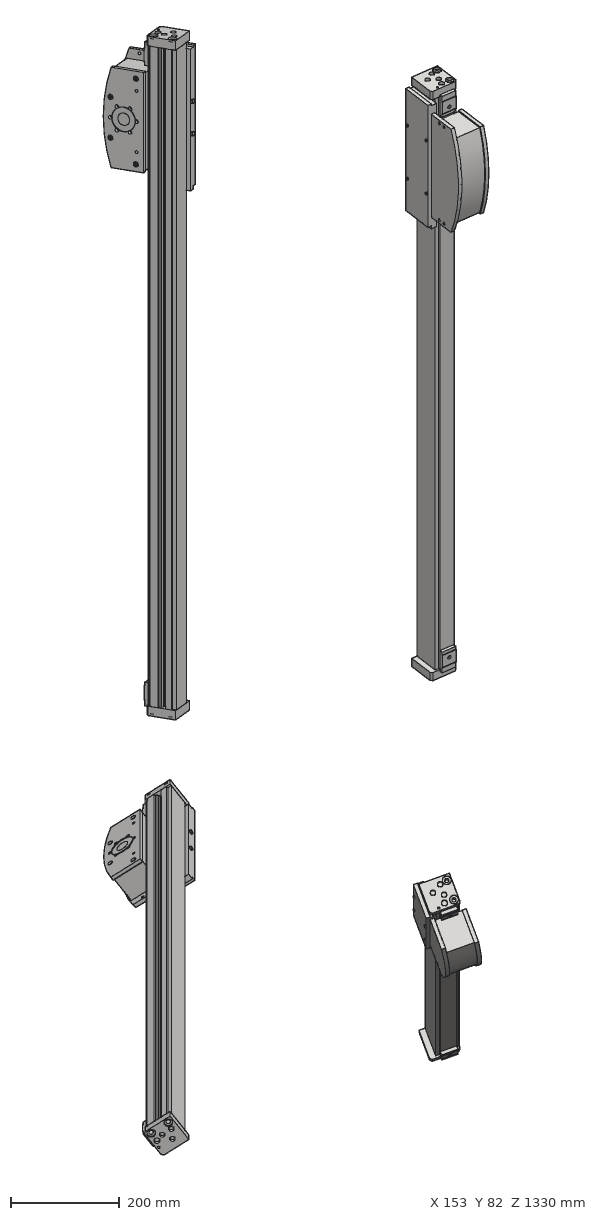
import cadquery as cq
import math


total_length = 1330.0
rail_width = 60.0
rail_depth = 48.0
block_depth = 60.0
block_height = 19.0
block_chamfer = 4.0

profile_step = 4.0
slot_left = 24.0
slot_right = 40.0
right_rebate_width = 8.0
back_rebate_width = 8.0

end_screw_head = 16.0
end_screw_hole = 8.0
end_screw_recess = 4.0
end_screw_side = 10.0
end_screw_front = 9.0
centre_screw_x = 36.0
centre_screw_y = 29.0
centre_screw_circle_radius = 12.0
centre_screw_count = 3
centre_screw_hole = 10.0
blind_hole_depth = 7.0
side_hole = 11.0
side_hole_x = 10.0
side_hole_y = 28.0
small_hole = 4.1
small_hole_x = 5.0
small_hole_y = 41.0

cover_thickness = 8.0
cover_front = 8.0
cover_back = 40.0
cover_length = 47.0
cover_inset = 15.0
cover_outer_step = 12.0
cover_inner_step = 7.0
cover_step_depth = 1.0
cover_hole = 7.0
cover_hole_depth = 4.0
cover_hole_from_end = 29.0

drive_z = 1164.0
drive_reach = 82.0
drive_radius = 311.0
plate_thickness = 8.0
box_front = -3.0
box_back = 52.0
rear_plate_length = 233.0
front_plate_length = 197.0
box_length = 192.0
box_inset = 3.0

plate_screw_head = 10.0
plate_screw_hole = 4.9
plate_screw_recess = 4.0
outer_screw_x = -68.0
outer_screw_offset = 40.0
inner_screw_x = -16.0
inner_screw_offset = 84.0
dowel_hole = 5.0
dowel_x = -15.0
dowel_offset = 60.0
flange_hole = 5.0
flange_hole_xs = (-39.0, -24.0)
flange_hole_offset = 109.0

cap_x = -41.0
cap_diameter = 48.0
cap_thickness = 1.0
cap_boss_diameter = 24.0
cap_boss_length = 4.0
cap_screw_circle_radius = 27.0
cap_screw_count = 6
cap_screw_hole = 7.0

carriage_width = 68.0
carriage_thickness = 20.0
carriage_plate_thickness = 8.0
carriage_plate_bottom = 1028.0
carriage_plate_top = 1303.0
carriage_base_bottom = 1021.0
carriage_base_top = 1300.0
knob_height = 3.0
side_knob_diameter = 8.5
side_knob_offset = 32.0
back_knob_diameter = 5.0
back_knob_offset = 60.0
back_knob_xs = (3.0, 61.0)

carriage_back = rail_depth + carriage_thickness
front_plate_front = box_front - plate_thickness
rear_plate_back = box_back + plate_thickness


def box_between(x0, x1, y0, y1, z0, z1):
    return cq.Workplane("XY").box(x1 - x0, y1 - y0, z1 - z0, centered=False).translate((x0, y0, z0))


def cylinder_along_y(x, z, y_start, diameter, length):
    """Cylinder that starts at y_start and runs toward +Y."""
    circle = cq.Workplane("XZ", origin=(x, y_start, z)).circle(diameter / 2)
    return circle.extrude(-length)


def cylinder_along_x(y, z, x_start, diameter, length):
    """Cylinder that starts at x_start and runs toward +X."""
    circle = cq.Workplane("YZ", origin=(x_start, y, z)).circle(diameter / 2)
    return circle.extrude(length)


def mirrored_to_lower_end(body):
    return body.mirror("XY", (0, 0, total_length / 2))


def make_rail():
    """Profile with stepped front edges, a stepped front slot and a rebated back edge."""
    step = profile_step
    right_face = rail_width - right_rebate_width
    back_rebate = rail_depth - back_rebate_width
    profile = [
        (2 * step, 0),
        (slot_left, 0),
        (slot_left, step),
        (slot_left + step, step),
        (slot_left + step, 2 * step),
        (slot_left + 2 * step, 2 * step),
        (slot_left + 2 * step, 3 * step),
        (slot_right, 3 * step),
        (slot_right, 0),
        (right_face, 0),
        (right_face, step),
        (rail_width, step),
        (rail_width, rail_depth),
        (step, rail_depth),
        (step, back_rebate),
        (0, back_rebate),
        (0, 2 * step),
        (step, 2 * step),
        (step, step),
        (2 * step, step),
    ]
    rail = cq.Workplane("XY").polyline(profile).close().extrude(total_length - 2 * block_height)
    return rail.translate((0, 0, block_height))


def upper_end_holes(points, diameter, depth):
    """Cylinders that run down from the upper end face."""
    end_face = cq.Workplane("XY", origin=(0, 0, total_length))
    return end_face.pushPoints(points).circle(diameter / 2).extrude(-depth)


def make_upper_end_block():
    block_bottom = total_length - block_height
    block = box_between(0, rail_width, 0, block_depth, block_bottom, total_length)
    block = block.edges("|Z and <X").chamfer(block_chamfer)

    corner_points = [(x, end_screw_front) for x in (end_screw_side, rail_width - end_screw_side)]
    block = block.cut(upper_end_holes(corner_points, end_screw_head, end_screw_recess))
    block = block.cut(upper_end_holes(corner_points, end_screw_hole, block_height))

    triangle = []
    for i in range(centre_screw_count):
        angle = math.pi / 2 + 2 * math.pi * i / centre_screw_count
        x = centre_screw_x + centre_screw_circle_radius * math.cos(angle)
        y = centre_screw_y + centre_screw_circle_radius * math.sin(angle)
        triangle.append((x, y))
    block = block.cut(upper_end_holes(triangle, centre_screw_hole, blind_hole_depth))
    block = block.cut(upper_end_holes([(side_hole_x, side_hole_y)], side_hole, blind_hole_depth))
    return block.cut(upper_end_holes([(small_hole_x, small_hole_y)], small_hole, blind_hole_depth))


def make_upper_side_cover():
    """Cover plate with a slightly lower strip at each end and one screw hole."""
    top = total_length - cover_inset
    bottom = top - cover_length
    cover = box_between(-cover_thickness, 0, cover_front, cover_back, bottom, top)
    strip_floor = cover_step_depth - cover_thickness
    for z0, z1 in ((bottom, bottom + cover_inner_step), (top - cover_outer_step, top)):
        cover = cover.cut(box_between(-cover_thickness, strip_floor, cover_front, cover_back, z0, z1))
    middle = (cover_front + cover_back) / 2
    hole_z = top - cover_hole_from_end
    hole = cylinder_along_x(middle, hole_z, -cover_thickness, cover_hole, cover_hole_depth)
    return cover.cut(hole)


def bowed_slab(reach, radius, length, y_front, y_back):
    """Slab from the rail to an arc about the drive height, its ends cut square."""
    half = length / 2
    end_x = radius - reach - math.sqrt(radius**2 - half**2)
    outline = (
        cq.Workplane("XZ", origin=(0, y_front, drive_z))
        .moveTo(0, -half)
        .lineTo(end_x, -half)
        .threePointArc((-reach, 0), (end_x, half))
        .lineTo(0, half)
        .close()
    )
    return outline.extrude(y_front - y_back)


def make_drive_box():
    reach = drive_reach - box_inset
    radius = drive_radius - box_inset
    return bowed_slab(reach, radius, box_length, box_front, box_back)


def make_rear_plate():
    plate = bowed_slab(drive_reach, drive_radius, rear_plate_length, box_back, rear_plate_back)
    for x in flange_hole_xs:
        for side in (-1, 1):
            z = drive_z + side * flange_hole_offset
            plate = plate.cut(cylinder_along_y(x, z, box_back, flange_hole, plate_thickness))
    return plate


def make_shaft_cap():
    """Thin disc with a boss behind it, flush with the front plate."""
    disc = cylinder_along_y(cap_x, drive_z, front_plate_front, cap_diameter, cap_thickness)
    boss_start = front_plate_front + cap_thickness
    boss = cylinder_along_y(cap_x, drive_z, boss_start, cap_boss_diameter, cap_boss_length)
    return disc.union(boss)


def make_front_plate(cap):
    plate = bowed_slab(drive_reach, drive_radius, front_plate_length, front_plate_front, box_front)

    for side in (-1, 1):
        for x, offset in ((outer_screw_x, outer_screw_offset), (inner_screw_x, inner_screw_offset)):
            z = drive_z + side * offset
            head = cylinder_along_y(x, z, front_plate_front, plate_screw_head, plate_screw_recess)
            hole = cylinder_along_y(x, z, front_plate_front, plate_screw_hole, plate_thickness)
            plate = plate.cut(head).cut(hole)
        dowel_z = drive_z + side * dowel_offset
        plate = plate.cut(cylinder_along_y(dowel_x, dowel_z, front_plate_front, dowel_hole, plate_thickness))

    for i in range(cap_screw_count):
        angle = 2 * math.pi * i / cap_screw_count
        x = cap_x + cap_screw_circle_radius * math.cos(angle)
        z = drive_z + cap_screw_circle_radius * math.sin(angle)
        plate = plate.cut(cylinder_along_y(x, z, front_plate_front, cap_screw_hole, plate_thickness))

    return plate.cut(cap)


def make_carriage():
    """Plate on a base that slides on the back of the rail and overhangs its far side."""
    plate_front = carriage_back - carriage_plate_thickness
    base = box_between(0, carriage_width, rail_depth, plate_front, carriage_base_bottom, carriage_base_top)
    plate = box_between(
        0, carriage_width, plate_front, carriage_back, carriage_plate_bottom, carriage_plate_top
    )
    carriage = base.union(plate)
    side_knob_y = (rail_depth + plate_front) / 2
    for side in (-1, 1):
        side_z = drive_z + side * side_knob_offset
        side_knob = cylinder_along_x(side_knob_y, side_z, carriage_width, side_knob_diameter, knob_height)
        carriage = carriage.union(side_knob)
        for x in back_knob_xs:
            back_z = drive_z + side * back_knob_offset
            back_knob = cylinder_along_y(x, back_z, carriage_back, back_knob_diameter, knob_height)
            carriage = carriage.union(back_knob)
    return carriage


rail = make_rail()
upper_end_block = make_upper_end_block()
end_blocks = [upper_end_block, mirrored_to_lower_end(upper_end_block)]
upper_side_cover = make_upper_side_cover()
side_covers = [upper_side_cover, mirrored_to_lower_end(upper_side_cover)]
drive_box = make_drive_box()
rear_plate = make_rear_plate()
shaft_cap = make_shaft_cap()
front_plate = make_front_plate(shaft_cap)
carriage = make_carriage()

result = cq.Compound.makeCompound(
    [
        rail.val(),
        *[block.val() for block in end_blocks],
        *[cover.val() for cover in side_covers],
        drive_box.val(),
        rear_plate.val(),
        shaft_cap.val(),
        front_plate.val(),
        carriage.val(),
    ]
)